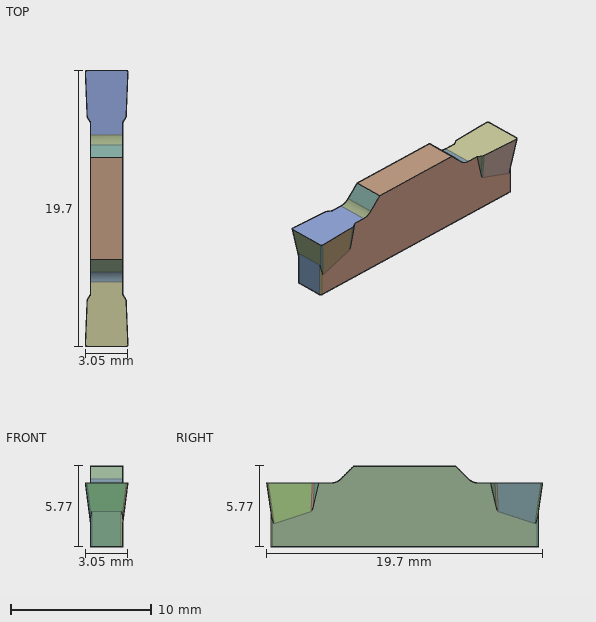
import cadquery as cq
import math

length = 19.68
height = 5.77
head_width = 3.05

body_width = 2.3
body_length = 19.09
body_corner_radius = 0.12

head_top = 4.57
crest_length = 7.26
ramp_angle = math.radians(45)
blend_radius = 1.0

head_depth = 3.55
head_back_y = 6.51
front_relief_depth = 2.03
front_slope = (length - body_length) / 2 / front_relief_depth
side_slope = math.tan(math.radians(7))
side_taper = math.tan(math.radians(2.3))
back_slope = 0.04
shoulder_slope = 1.6
head_root_x = 0.4
front_corner_radius = 0.12
shoulder_radius = 0.3


def make_body():
    """Blade with a raised crest, its four upright corners rounded."""
    half_crest = crest_length / 2
    blend_end_z = head_top + blend_radius * (1 - math.cos(ramp_angle))
    blend_end_y = half_crest + (height - blend_end_z) / math.tan(ramp_angle)
    blend_start_y = blend_end_y + blend_radius * math.sin(ramp_angle)
    middle_angle = ramp_angle / 2
    blend_middle_y = blend_start_y - blend_radius * math.sin(middle_angle)
    blend_middle_z = head_top + blend_radius * (1 - math.cos(middle_angle))
    half_length = body_length / 2
    return (
        cq.Workplane("YZ")
        .moveTo(-half_length, 0)
        .lineTo(half_length, 0)
        .lineTo(half_length, head_top)
        .lineTo(blend_start_y, head_top)
        .threePointArc((blend_middle_y, blend_middle_z), (blend_end_y, blend_end_z))
        .lineTo(half_crest, height)
        .lineTo(-half_crest, height)
        .lineTo(-blend_end_y, blend_end_z)
        .threePointArc((-blend_middle_y, blend_middle_z), (-blend_start_y, head_top))
        .lineTo(-half_length, head_top)
        .close()
        .extrude(body_width / 2, both=True)
        .edges("|Z")
        .fillet(body_corner_radius)
    )


def head_section(depth):
    """Outline of the +Y head at a depth below its top face."""
    front_y = length / 2 - front_slope * depth
    back_y = head_back_y + back_slope * depth

    widest_y = length / 2 - front_corner_radius

    def flank_x(y):
        return head_width / 2 - side_slope * depth - side_taper * (widest_y - y)

    back_x = flank_x(back_y)
    root_y = back_y - shoulder_slope * (back_x - head_root_x)
    right_side = [(head_root_x, root_y), (back_x, back_y), (flank_x(front_y), front_y)]
    left_side = [(-x, y) for x, y in reversed(right_side)]
    return right_side + left_side


def make_head():
    """Relieved cutting head at the +Y end, narrowing downward into the body."""
    head = (
        cq.Workplane("XY", origin=(0, 0, head_top))
        .polyline(head_section(0))
        .close()
        .workplane(offset=-head_depth)
        .polyline(head_section(head_depth))
        .close()
        .loft(ruled=True)
    )
    upright_edges = head.edges("not #Z")
    front_edges = upright_edges.filter(lambda edge: edge.Center().y > head_back_y + head_depth / 2)
    head = front_edges.fillet(front_corner_radius)
    for side in (-1, 1):
        back_x, back_y = head_section(0)[1]
        corner = (side * back_x, back_y, head_top)
        shoulder = head.edges("not #Z").edges(cq.selectors.NearestToPointSelector(corner))
        head = shoulder.fillet(shoulder_radius)
    return head


head = make_head()
result = make_body().union(head).union(head.mirror("XZ"))